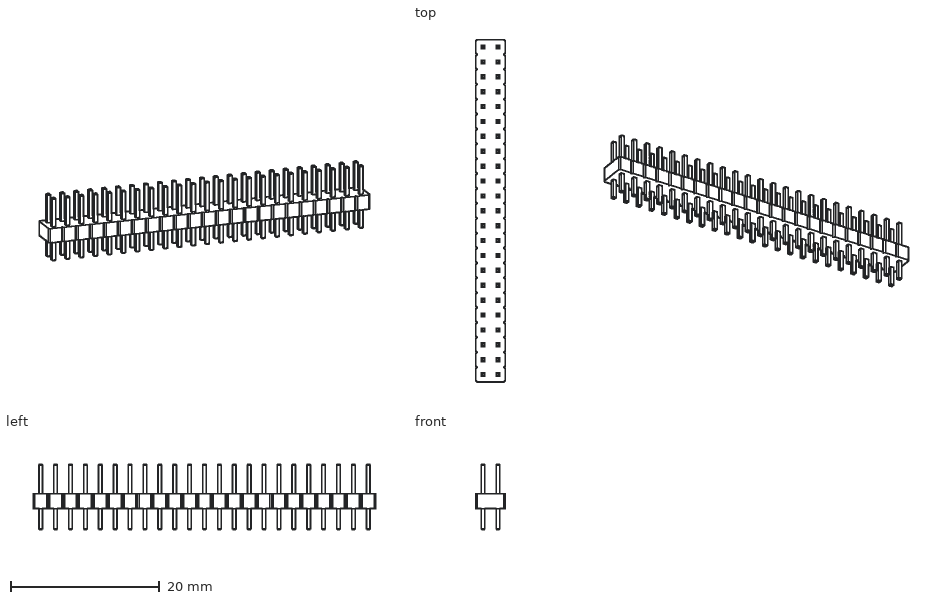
import cadquery as cq

length = 46.0
cells = 23
columns = 2
pitch = length / cells

body_width = columns * pitch
body_height = pitch
corner_cut = 0.202

pin_side = 0.5
pin_height = 8.8
pin_below = 2.8
tip_chamfer = 0.125


def make_cell(center_y):
    """One body cell: a box with its four vertical corners cut at 45 degrees."""
    half_x = body_width / 2
    half_y = pitch / 2
    inner_x = half_x - corner_cut
    inner_y = half_y - corner_cut
    outline = [
        (inner_x, half_y),
        (half_x, inner_y),
        (half_x, -inner_y),
        (inner_x, -half_y),
        (-inner_x, -half_y),
        (-half_x, -inner_y),
        (-half_x, inner_y),
        (-inner_x, half_y),
    ]
    return (
        cq.Workplane("XY")
        .center(0, center_y)
        .polyline(outline)
        .close()
        .extrude(body_height)
    )


def make_pin(x, y):
    """A square pin chamfered on all four sides at both ends."""
    return (
        cq.Workplane("XY", origin=(x, y, -pin_below))
        .rect(pin_side, pin_side)
        .extrude(pin_height)
        .faces(">Z")
        .chamfer(tip_chamfer)
        .faces("<Z")
        .chamfer(tip_chamfer)
    )


row_positions = [(i - (cells - 1) / 2) * pitch for i in range(cells)]
column_positions = [(i - (columns - 1) / 2) * pitch for i in range(columns)]

body = make_cell(row_positions[0])
for row_y in row_positions[1:]:
    body = body.union(make_cell(row_y))
body = body.clean()

pins = [make_pin(x, y).val() for y in row_positions for x in column_positions]
result = cq.Workplane(body.val().fuse(*pins))